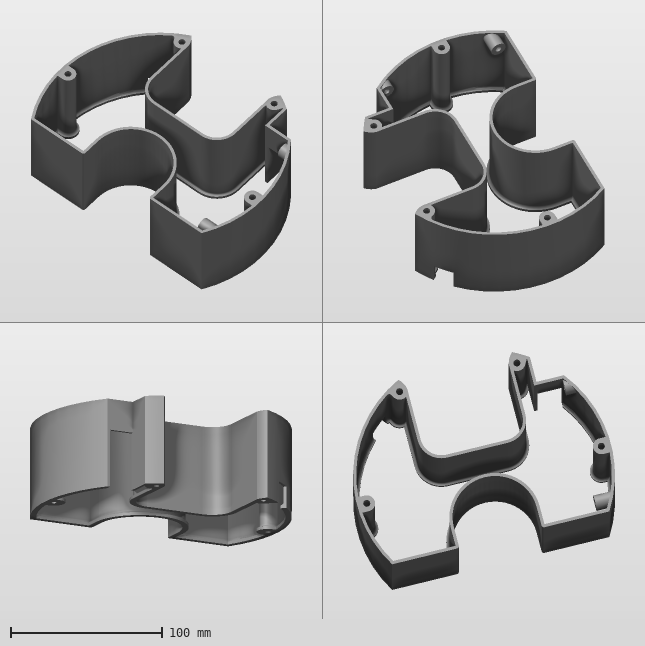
import cadquery as cq
import math

HEIGHT = 60.0
OUTER_R = 86.5
FRONT_Y = -44.8
WALL = 2.0

LEDGE = 2.0
FLOOR = 2.0
WALL_BLEND = 2.0
SLOT_BLEND = 1.0

ARCH_R = 28.2
ARCH_Y = -29.9
ARCH_CORNER_R = 1.5

SLOT_X = 34.5
SLOT_FLOOR_Y = 19.5
SLOT_CORNER_R = 14.0
SLOT_TOP_Y = 70.0
TIP_MID_X = 36.22
TIP_MID_Y = 74.2
TIP_X = 38.7

NOTCH_X = 49.3
NOTCH_Y = 53.5
NOTCH_OPENING_HEIGHT = 38.9
NOTCH_OPENING_END_X = 66.2

BOSS_PITCH_R = 79.9
BOSS_R = 5.5
BOSS_ANGLES = (0, 60, 120, 180)
HOLE_TOP_D = 4.7
HOLE_BOTTOM_D = 3.5

POST_D = 10.4
POST_HOLE_D = 4.1
POST_HOLE_DEPTH = 3.5
POST_FACE_X = 66.5
POST_Z = 54.0
POST_YS = (-35.3, 46.7)

WINDOW_ANGLE = 131.1
WINDOW_WIDTH = 14.0
WINDOW_HEIGHT = 14.5
WINDOW_DEPTH = 17.3

MARGIN = 0.2


def rim(offset):
    """Distance along one plan axis to the round wall, at an offset along the other."""
    return math.sqrt(OUTER_R**2 - offset**2)


def block(xs, ys, zs):
    """Box between pairs of limits."""
    size = (xs[1] - xs[0], ys[1] - ys[0], zs[1] - zs[0])
    return cq.Workplane("XY").box(*size, centered=False).translate((xs[0], ys[0], zs[0]))


def around(shape, angle):
    """Shape turned about the central Z axis."""
    return shape.rotate((0, 0, 0), (0, 0, 1), angle)


def outline():
    """Closed outer outline of the case in plan."""
    corner_x = SLOT_X - SLOT_CORNER_R
    corner_y = SLOT_FLOOR_Y + SLOT_CORNER_R
    rim_mid_x = (TIP_X + NOTCH_X) / 2
    return (
        cq.Workplane("XY")
        .moveTo(-rim(FRONT_Y), FRONT_Y)
        .lineTo(-ARCH_R, FRONT_Y)
        .lineTo(-ARCH_R, ARCH_Y)
        .threePointArc((0, ARCH_Y + ARCH_R), (ARCH_R, ARCH_Y))
        .lineTo(ARCH_R, FRONT_Y)
        .lineTo(rim(FRONT_Y), FRONT_Y)
        .threePointArc((OUTER_R, 0), (rim(NOTCH_Y), NOTCH_Y))
        .lineTo(NOTCH_X, NOTCH_Y)
        .lineTo(NOTCH_X, rim(NOTCH_X))
        .threePointArc((rim_mid_x, rim(rim_mid_x)), (TIP_X, rim(TIP_X)))
        .threePointArc((TIP_MID_X, TIP_MID_Y), (SLOT_X, SLOT_TOP_Y))
        .lineTo(SLOT_X, corner_y)
        .radiusArc((corner_x, SLOT_FLOOR_Y), SLOT_CORNER_R)
        .lineTo(-corner_x, SLOT_FLOOR_Y)
        .radiusArc((-SLOT_X, corner_y), SLOT_CORNER_R)
        .lineTo(-SLOT_X, SLOT_TOP_Y)
        .threePointArc((-TIP_MID_X, TIP_MID_Y), (-TIP_X, rim(TIP_X)))
        .threePointArc((-OUTER_R, 0), (-rim(FRONT_Y), FRONT_Y))
        .close()
    )


def bosses(radius):
    """Full-height radial bosses, rounded on the inner end and running out past the wall."""
    boss = cq.Workplane("XY").center(BOSS_PITCH_R, 0).circle(radius).extrude(HEIGHT)
    boss = boss.union(block((BOSS_PITCH_R, BOSS_PITCH_R + OUTER_R), (-radius, radius), (0, HEIGHT)))
    shape = around(boss, BOSS_ANGLES[0])
    for angle in BOSS_ANGLES[1:]:
        shape = shape.union(around(boss, angle))
    return shape


def inside(gap, boss_radius):
    """Full-height space lying inside the outline by the given gap and clear of the bosses."""
    return outline().offset2D(-gap, "intersection").extrude(HEIGHT).cut(bosses(boss_radius))


def by_slot(edge):
    """Whether a cavity floor edge belongs to the slot walls or the bosses at the tips."""
    center = edge.Center()
    return abs(center.x) < NOTCH_X - WALL - MARGIN and center.y > SLOT_FLOOR_Y - WALL - MARGIN


def by_notch(edge):
    """Whether a cavity floor edge belongs to the notch walls."""
    center = edge.Center()
    return center.x > SLOT_X and center.y > NOTCH_Y - WALL - MARGIN


def cavity():
    """Space above the floor flange, blended into it except along the notch walls."""
    limits = (-OUTER_R, OUTER_R)
    space = inside(WALL, BOSS_R).intersect(block(limits, limits, (FLOOR, HEIGHT)))
    slot_edges = [e for e in space.faces("<Z").edges().vals() if by_slot(e)]
    space = space.newObject(slot_edges).fillet(SLOT_BLEND)
    floor_edges = space.faces("<Z").edges().vals()
    wall_edges = [e for e in floor_edges if not by_slot(e) and not by_notch(e)]
    return space.newObject(wall_edges).fillet(WALL_BLEND)


def shell():
    """Walls, bosses and floor flange."""
    arch_corners = cq.selectors.BoxSelector(
        (-ARCH_R - MARGIN, FRONT_Y - MARGIN, 0),
        (ARCH_R + MARGIN, FRONT_Y + MARGIN, HEIGHT),
    )
    solid = outline().extrude(HEIGHT).edges("|Z").edges(arch_corners).fillet(ARCH_CORNER_R)
    return solid.cut(cavity()).cut(inside(WALL + LEDGE, BOSS_R + LEDGE))


def notch_clearance():
    """Removes the ledge along the notch walls, leaving the boss ledge."""
    near_x = NOTCH_X - WALL - LEDGE
    near_y = NOTCH_Y - WALL - LEDGE
    heights = (0, FLOOR + WALL_BLEND)
    along_x = block((near_x, NOTCH_OPENING_END_X), (near_y, NOTCH_Y - WALL), heights)
    along_y = block((near_x, NOTCH_X - WALL), (near_y, BOSS_PITCH_R), heights)
    return along_x.union(along_y).cut(bosses(BOSS_R + LEDGE))


def notch_opening():
    """Opening under the notch wall that runs along X."""
    return block(
        (NOTCH_X, NOTCH_OPENING_END_X),
        (NOTCH_Y - 2 * WALL, NOTCH_Y + WALL),
        (0, NOTCH_OPENING_HEIGHT),
    )


def post_rod(y, diameter, length):
    """Rod along X starting at the free face of a post."""
    face = cq.Workplane("YZ", origin=(POST_FACE_X, y, POST_Z))
    return face.circle(diameter / 2).extrude(length)


def boss_hole():
    """Tapered screw hole through the boss at angle zero."""
    hole = cq.Workplane("XY").center(BOSS_PITCH_R, 0).circle(HOLE_BOTTOM_D / 2)
    return hole.workplane(offset=HEIGHT).circle(HOLE_TOP_D / 2).loft()


def window():
    """Cutter for the radial window at the foot of the round wall."""
    cutter = block(
        (OUTER_R - WINDOW_DEPTH / 2, OUTER_R + WINDOW_DEPTH / 2),
        (-WINDOW_WIDTH / 2, WINDOW_WIDTH / 2),
        (0, WINDOW_HEIGHT),
    )
    return around(cutter, WINDOW_ANGLE)


body = shell().cut(notch_clearance()).cut(notch_opening())

post_limit = outline().offset2D(-WALL / 2).extrude(HEIGHT)
for post_y in POST_YS:
    post = post_rod(post_y, POST_D, OUTER_R - POST_FACE_X).intersect(post_limit)
    body = body.union(post).cut(post_rod(post_y, POST_HOLE_D, POST_HOLE_DEPTH))

for boss_angle in BOSS_ANGLES:
    body = body.cut(around(boss_hole(), boss_angle))

result = body.cut(window())